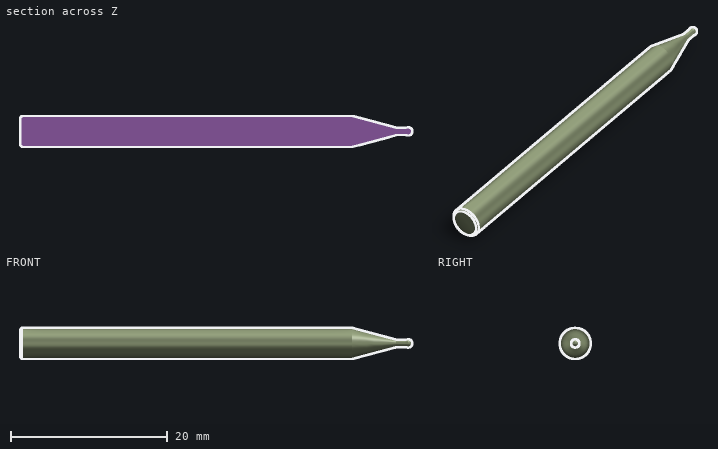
import cadquery as cq

total_length = 50.0
shank_radius = 2.0
shank_length = 42.35
end_chamfer = 0.25

ball_radius = 0.55
neck_radius = 0.5
neck_length = 1.2
shoulder_length = 0.3

shank_end = -total_length / 2
tip = total_length / 2
taper_start = shank_end + shank_length
ball_start = tip - ball_radius
neck_end = ball_start - shoulder_length
neck_start = neck_end - neck_length

half_profile = (
    cq.Workplane("XY")
    .moveTo(shank_end, 0)
    .lineTo(shank_end, shank_radius - end_chamfer)
    .lineTo(shank_end + end_chamfer, shank_radius)
    .lineTo(taper_start, shank_radius)
    .lineTo(neck_start, neck_radius)
    .lineTo(neck_end, neck_radius)
    .lineTo(ball_start, ball_radius)
    .radiusArc((tip, 0), ball_radius)
    .close()
)

result = half_profile.revolve(360, (0, 0, 0), (1, 0, 0))